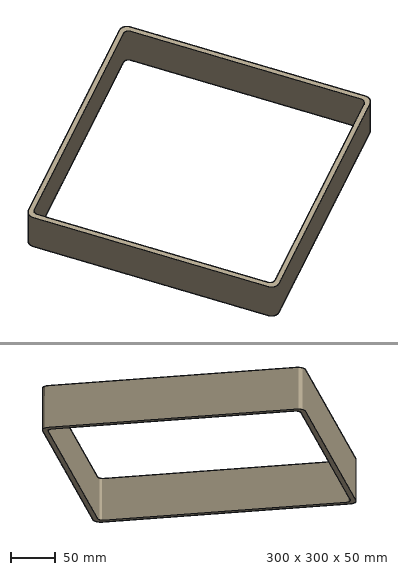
import cadquery as cq

side = 300.0
height = 50.0
wall = 6.0
outer_radius = 9.0
inner_radius = 6.0


def rounded_square_prism(width, corner_radius):
    """Upright square prism with rounded vertical edges, standing on Z = 0."""
    prism = cq.Workplane("XY").rect(width, width).extrude(height)
    return prism.edges("|Z").fillet(corner_radius)


outer_body = rounded_square_prism(side, outer_radius)
opening = rounded_square_prism(side - 2 * wall, inner_radius)

result = outer_body.cut(opening)